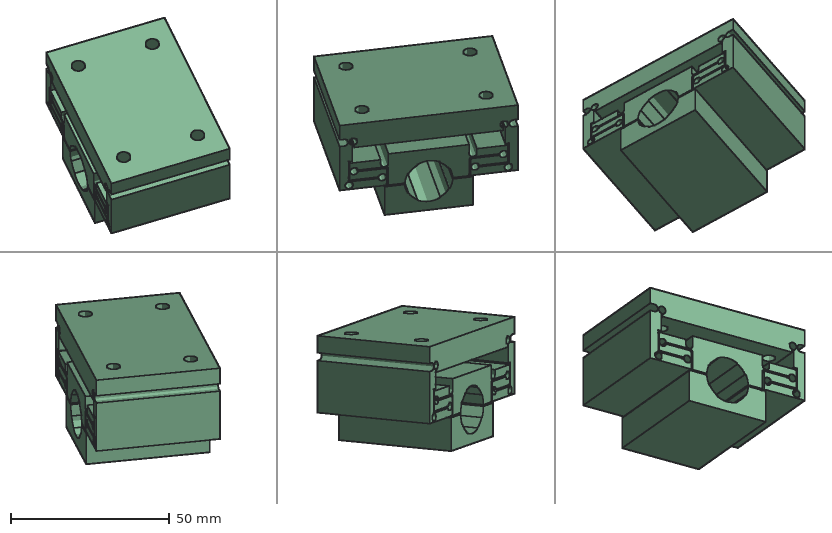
import cadquery as cq
import math

LENGTH_X = 57.5
WIDTH_Y = 40.0
HEIGHT_Z = 36.0

STAGE_BOTTOM_Z = 11.25
PLATE_BOTTOM_Z = 27.0
BLOCK_TOP_Z = 23.1
ARM_TOP_Z = 21.2
LEG_STEP_Z = 21.85
UPPER_SLIT_Z = 18.0
LOWER_SLIT_Z = 14.5

BLOCK_HALF_WIDTH = 13.0
ARM_OUTER_X = 25.5
LEG_UPPER_INNER_X = 24.6
LEG_LOWER_INNER_X = 25.9

SLIT_WIDTH = 0.6
RELIEF_RADIUS = 1.25
HINGE_WEB = 0.1
BEND_INNER_RADIUS = 0.5
BEND_OUTER_RADIUS = BEND_INNER_RADIUS + SLIT_WIDTH
ARM_INNER_X = BLOCK_HALF_WIDTH + SLIT_WIDTH

PLATE_HINGE_Z = 29.25
PLATE_RELIEF_X = LEG_UPPER_INNER_X - SLIT_WIDTH / 2
PLATE_HINGE_WEB = 0.4
OUTER_SLOT_X = PLATE_RELIEF_X + 2 * RELIEF_RADIUS + PLATE_HINGE_WEB

FOOT_RELIEF_X = (ARM_OUTER_X + LEG_LOWER_INNER_X) / 2
FOOT_RELIEF_Z = 12.9

UPPER_RELIEF_X = ARM_OUTER_X - HINGE_WEB - RELIEF_RADIUS
LOWER_RELIEF_X = ARM_INNER_X + HINGE_WEB + RELIEF_RADIUS

NOTCH_X = BLOCK_HALF_WIDTH + RELIEF_RADIUS
NOTCH_Z = UPPER_SLIT_Z + SLIT_WIDTH / 2 + HINGE_WEB + RELIEF_RADIUS

MOUNT_HOLE_DIAMETER = 4.25
MOUNT_SPACING_X = 40.0
MOUNT_SPACING_Y = 25.0

CAP_LENGTH_X = 28.5
CAP_TOP_Z = 10.75
BORE_Z = (STAGE_BOTTOM_Z + CAP_TOP_Z) / 2
BORE_RADIUS = 7.7

PAD_RADIUS = 7.5
PAD_START_ANGLE = 26.5
PAD_END_ANGLE = 90 - PAD_START_ANGLE
FILLET_RADIUS = 0.4
FILLET_CENTER_RADIUS = BORE_RADIUS - FILLET_RADIUS


def block(x_min, x_max, z_min, z_max):
    """Rectangular prism over the full width, given by its X and Z limits."""
    return (
        cq.Workplane("XY")
        .box(x_max - x_min, WIDTH_Y, z_max - z_min)
        .translate(((x_min + x_max) / 2, 0, (z_min + z_max) / 2))
    )


def rod(x, z, radius):
    """Cylinder along Y over the full width."""
    return cq.Workplane("XZ").center(x, z).circle(radius).extrude(WIDTH_Y / 2, both=True)


def cavity():
    """Open space under the plate, above the arms and the central block."""
    return block(
        -LEG_UPPER_INNER_X, LEG_UPPER_INNER_X, ARM_TOP_Z, PLATE_BOTTOM_Z
    ).cut(block(-BLOCK_HALF_WIDTH, BLOCK_HALF_WIDTH, ARM_TOP_Z, BLOCK_TOP_Z))


def plate_hinge_cut():
    """Round relief with its slit to the cavity, and the open slot on the outer face."""
    relief = rod(PLATE_RELIEF_X, PLATE_HINGE_Z, RELIEF_RADIUS)
    slit = block(LEG_UPPER_INNER_X - SLIT_WIDTH, LEG_UPPER_INNER_X, PLATE_BOTTOM_Z, PLATE_HINGE_Z)
    slot_end = rod(OUTER_SLOT_X, PLATE_HINGE_Z, RELIEF_RADIUS)
    slot = block(OUTER_SLOT_X, LENGTH_X / 2, PLATE_HINGE_Z - RELIEF_RADIUS, PLATE_HINGE_Z + RELIEF_RADIUS)
    return relief.union(slit).union(slot_end).union(slot)


def leg_cut():
    """Gap between leg and arm, from the step in the leg down to the foot relief."""
    step = block(LEG_UPPER_INNER_X, LEG_LOWER_INNER_X, ARM_TOP_Z, LEG_STEP_Z)
    gap = block(ARM_OUTER_X, LEG_LOWER_INNER_X, FOOT_RELIEF_Z, LEG_STEP_Z)
    return step.union(gap).union(rod(FOOT_RELIEF_X, FOOT_RELIEF_Z, RELIEF_RADIUS))


def lower_slit_cut():
    """Slit from the leg gap inward to its round relief."""
    slit = block(
        LOWER_RELIEF_X, ARM_OUTER_X, LOWER_SLIT_Z - SLIT_WIDTH / 2, LOWER_SLIT_Z + SLIT_WIDTH / 2
    )
    return slit.union(rod(LOWER_RELIEF_X, LOWER_SLIT_Z, RELIEF_RADIUS))


def upper_slit_cut():
    """Slit from its round relief inward, bending down beside the block to the underside."""
    top = UPPER_SLIT_Z + SLIT_WIDTH / 2
    bottom = UPPER_SLIT_Z - SLIT_WIDTH / 2
    bend_x = BLOCK_HALF_WIDTH + BEND_OUTER_RADIUS
    bend_z = top - BEND_OUTER_RADIUS
    slit = (
        cq.Workplane("XZ")
        .moveTo(UPPER_RELIEF_X, top)
        .lineTo(bend_x, top)
        .radiusArc((BLOCK_HALF_WIDTH, bend_z), -BEND_OUTER_RADIUS)
        .lineTo(BLOCK_HALF_WIDTH, STAGE_BOTTOM_Z)
        .lineTo(ARM_INNER_X, STAGE_BOTTOM_Z)
        .lineTo(ARM_INNER_X, bend_z)
        .radiusArc((bend_x, bottom), BEND_INNER_RADIUS)
        .lineTo(UPPER_RELIEF_X, bottom)
        .close()
        .extrude(WIDTH_Y / 2, both=True)
    )
    return slit.union(rod(UPPER_RELIEF_X, UPPER_SLIT_Z, RELIEF_RADIUS))


def notch_cut():
    """Round-bottomed notch between the arm and the block."""
    notch = block(NOTCH_X - RELIEF_RADIUS, NOTCH_X + RELIEF_RADIUS, NOTCH_Z, ARM_TOP_Z)
    return notch.union(rod(NOTCH_X, NOTCH_Z, RELIEF_RADIUS))


def bore_point(radius, angle):
    """XZ point at a radius and an angle in degrees about the bore axis."""
    radians = math.radians(angle)
    return (radius * math.cos(radians), BORE_Z + radius * math.sin(radians))


def pad(start_angle, end_angle):
    """Raised strip on the bore wall between two angles."""
    middle_angle = (start_angle + end_angle) / 2
    return (
        cq.Workplane("XZ")
        .moveTo(*bore_point(PAD_RADIUS, start_angle))
        .threePointArc(bore_point(PAD_RADIUS, middle_angle), bore_point(PAD_RADIUS, end_angle))
        .lineTo(*bore_point(BORE_RADIUS, end_angle))
        .threePointArc(bore_point(BORE_RADIUS, middle_angle), bore_point(BORE_RADIUS, start_angle))
        .close()
        .extrude(WIDTH_Y / 2, both=True)
    )


def shaft_bore():
    """Bore along Y with a fillet-edged pad left standing in each quadrant."""
    bore = rod(0, BORE_Z, BORE_RADIUS)
    for quadrant in (0, 90, 180, 270):
        pad_edges = (quadrant + PAD_START_ANGLE, quadrant + PAD_END_ANGLE)
        bore = bore.cut(pad(*pad_edges))
        for edge_angle in pad_edges:
            bore = bore.union(rod(*bore_point(FILLET_CENTER_RADIUS, edge_angle), FILLET_RADIUS))
    return bore


def mounting_holes():
    """Four holes through the plate into the cavity."""
    return (
        cq.Workplane("XY", origin=(0, 0, PLATE_BOTTOM_Z))
        .rect(MOUNT_SPACING_X, MOUNT_SPACING_Y, forConstruction=True)
        .vertices()
        .circle(MOUNT_HOLE_DIAMETER / 2)
        .extrude(HEIGHT_Z - PLATE_BOTTOM_Z)
    )


def make_stage():
    """One-piece flexure stage: plate, legs, folded arms and the upper half of the clamp."""
    stage = block(-LENGTH_X / 2, LENGTH_X / 2, STAGE_BOTTOM_Z, HEIGHT_Z).cut(cavity())
    for make_cut in (plate_hinge_cut, leg_cut, lower_slit_cut, upper_slit_cut, notch_cut):
        side_cut = make_cut()
        stage = stage.cut(side_cut).cut(side_cut.mirror("YZ"))
    return stage.cut(shaft_bore()).cut(mounting_holes())


def make_cap():
    """Lower half of the shaft clamp."""
    return block(-CAP_LENGTH_X / 2, CAP_LENGTH_X / 2, 0, CAP_TOP_Z).cut(shaft_bore())


stage = make_stage()
cap = make_cap()

result = cq.Compound.makeCompound([stage.val(), cap.val()])